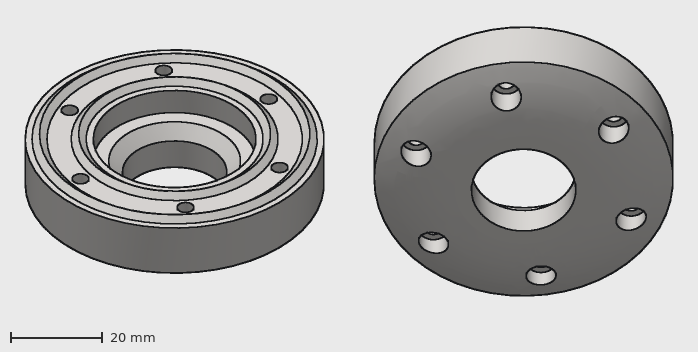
import cadquery as cq
import math

outer_radius = 32.5
total_height = 17.5
ridge_height = 1.35
face_z = total_height - ridge_height

flat_bottom_radius = 14.95
dome_rise = 3.9

throat_radius = 22.7 / 2
pocket_radius = 35.35 / 2
pocket_depth = 6.0
throat_chamfer = 3.0

ridge_half_width = 1.6
outer_ridge_radius = 29.4
inner_ridge_radius = 20.85

bolt_count = 6
bolt_circle_radius = 25.1
bolt_hole_diameter = 3.65
counterbore_diameter = 6.5
counterbore_top_z = 6.5


def make_body():
    """Revolve the section of the ring, with both ridges on its top face."""
    dome_width = outer_radius - flat_bottom_radius
    dome_radius = (dome_width**2 + dome_rise**2) / (2 * dome_rise)
    half_sweep = math.asin(dome_width / dome_radius) / 2
    dome_middle = (
        flat_bottom_radius + dome_radius * math.sin(half_sweep),
        dome_radius * (1 - math.cos(half_sweep)),
    )
    pocket_floor_z = face_z - pocket_depth

    section = (
        cq.Workplane("XZ")
        .moveTo(throat_radius, 0)
        .lineTo(flat_bottom_radius, 0)
        .threePointArc(dome_middle, (outer_radius, dome_rise))
        .lineTo(outer_radius, face_z)
    )
    for ridge_radius in (outer_ridge_radius, inner_ridge_radius):
        section = (
            section.lineTo(ridge_radius + ridge_half_width, face_z)
            .lineTo(ridge_radius, total_height)
            .lineTo(ridge_radius - ridge_half_width, face_z)
        )
    section = (
        section.lineTo(pocket_radius, face_z)
        .lineTo(pocket_radius, pocket_floor_z)
        .lineTo(throat_radius + throat_chamfer, pocket_floor_z)
        .lineTo(throat_radius, pocket_floor_z - throat_chamfer)
        .close()
    )
    return section.revolve(360, (0, 0, 0), (0, 1, 0))


def bolt_circle_cylinders(diameter, height):
    """Cylinders standing on the bottom plane at every bolt position."""
    return (
        cq.Workplane("XY")
        .polarArray(bolt_circle_radius, 0, 360, bolt_count)
        .circle(diameter / 2)
        .extrude(height)
    )


result = (
    make_body()
    .cut(bolt_circle_cylinders(bolt_hole_diameter, total_height))
    .cut(bolt_circle_cylinders(counterbore_diameter, counterbore_top_z))
)